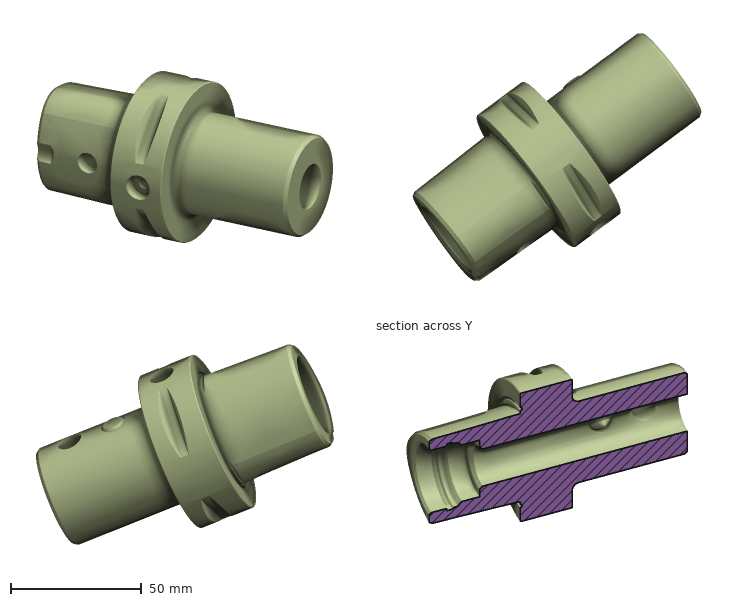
import cadquery as cq
import math

TOTAL_LENGTH = 108.0

LOBE_OFFSET = 9.9
LOBE_RADIUS = 13.4
TAPER_SLOPE = 1 / 40
TAPER_END = 35.9
TIP_CHAMFER_LENGTH = 1.4
TIP_CHAMFER_DEPTH = 0.9

NECK_RADIUS = 22.9
NECK_START = 37.2
NECK_GROOVE_RADIUS = 22.4
NECK_GROOVE_START = 36.6

FLANGE_DIAMETER = 63.0
FLANGE_RADIUS = FLANGE_DIAMETER / 2
FLANGE_START = 38.0
FLANGE_END = 59.9
FLANGE_CHAMFER = 0.3
FACE_GROOVE_RADIUS = 0.8

SLOT_X = 50.0
SLOT_COUNT = 4
SLOT_FLOOR_DISTANCE = 28.0
SLOT_FLOOR_WIDTH = 3.5
SLOT_FLANK_ANGLE = 30.0
SLOT_FILLET = 0.4
SLOT_CLEARANCE = 1.1

SHANK_RADIUS = 20.0
SHANK_FILLET = 2.7
SHANK_CHAMFER_LENGTH = 1.4
SHANK_CHAMFER_DEPTH = 1.0

MOUTH_RADIUS = 15.1
MOUTH_CHAMFER = 1.0
MOUTH_END = 7.6
CLAMP_GROOVE_RADIUS = 16.2
CLAMP_GROOVE_END = 9.7
RELIEF_FILLET = 1.3
LEAD_START = 12.3
LEAD_RADIUS = 15.1
MIDDLE_RADIUS = 13.7
MIDDLE_END = 21.1
SHOULDER_CHAMFER = 1.3
MIDDLE_CORNER_CHAMFER = 0.2
BORE_RADIUS = 9.0

NOTCH_RADIUS = 5.5
NOTCH_AXIS_DISTANCE = 23.5
NOTCH_LENGTH = 6.3
TAPER_HOLE_X = 22.5
TAPER_HOLE_RADIUS = 4.2
TAPER_HOLE_FLOOR = 14.9
DRILL_POINT_ANGLE = 140.0

PLUG_X = SLOT_X
PLUG_RADIUS = 5.1
PLUG_CHAMFER = 0.3
PLUG_OUTER = 26.5
PLUG_INNER = 22.1
PLUG_PIT_RADIUS = 2.2
PLUG_PIT_DEPTH = 1.1

SCREW_RADIUS = 5.0
SCREW_HOLE_XS = (75.4, 93.6)
SCREW_X = SCREW_HOLE_XS[0]
SCREW_TOP = 20.4
SCREW_TOP_CHAMFER = 1.0
SCREW_TIP = 4.9
SCREW_TIP_RADIUS = 0.5


def revolved(points):
    """Solid of revolution about the X axis from (x, radius) points."""
    return cq.Workplane("XY").polyline(points).close().revolve(360, (0, 0, 0), (1, 0, 0))


def radial_plane(x, direction):
    """Plane on the tool axis at x whose normal is +Y (direction 1) or -Y (direction -1)."""
    return cq.Plane(origin=(x, 0, 0), xDir=(1, 0, 0), normal=(0, direction, 0))


def turned_about_y(x, direction, points):
    """Solid turned about a Y-parallel axis through x, from (radius, distance) points."""
    placed = [(x + radius, direction * distance) for radius, distance in points]
    return cq.Workplane("XY").polyline(placed).close().revolve(360, (x, 0, 0), (x, 1, 0))


def drill_point_height(radius):
    return radius / math.tan(math.radians(DRILL_POINT_ANGLE / 2))


def polygon_wire(x, lobe_radius):
    """Lobed outline at x: lobe arcs alternate with flat arcs centred on the opposite lobe."""
    flat_radius = lobe_radius + LOBE_OFFSET * math.sqrt(3)

    def arc_point(centre_angle, radius, angle):
        y = LOBE_OFFSET * math.cos(math.radians(centre_angle)) + radius * math.cos(math.radians(angle))
        z = LOBE_OFFSET * math.sin(math.radians(centre_angle)) + radius * math.sin(math.radians(angle))
        return cq.Vector(x, y, z)

    lobe_spacing = 120
    flat_turn = lobe_spacing / 2
    arc_turns = (-lobe_spacing / 4, 0, lobe_spacing / 4)
    edges = []
    for lobe in (0, lobe_spacing, 2 * lobe_spacing):
        flat = lobe + flat_turn
        for centre, radius, middle in ((lobe, lobe_radius, lobe), (flat + 180, flat_radius, flat)):
            points = [arc_point(centre, radius, middle + turn) for turn in arc_turns]
            edges.append(cq.Edge.makeThreePointArc(*points))
    return cq.Wire.assembleEdges(edges)


def polygon_section(x_start, radius_start, x_end, radius_end):
    wires = [polygon_wire(x_start, radius_start), polygon_wire(x_end, radius_end)]
    return cq.Workplane(cq.Solid.makeLoft(wires, True))


def make_polygon_taper():
    chamfer_end_radius = LOBE_RADIUS - TAPER_SLOPE * (TAPER_END - TIP_CHAMFER_LENGTH)
    tip_radius = chamfer_end_radius - TIP_CHAMFER_DEPTH
    tip = polygon_section(0, tip_radius, TIP_CHAMFER_LENGTH, chamfer_end_radius)
    taper = polygon_section(TIP_CHAMFER_LENGTH, chamfer_end_radius, TAPER_END, LOBE_RADIUS)
    straight = polygon_section(TAPER_END, LOBE_RADIUS, FLANGE_START, LOBE_RADIUS)
    return tip.union(taper).union(straight).cut(make_neck_groove())


def make_neck_groove():
    """Ring that trims the lobes next to the flange: a shallow groove, then the neck."""
    clear_radius = FLANGE_RADIUS
    ramp = clear_radius - NECK_GROOVE_RADIUS
    step = NECK_RADIUS - NECK_GROOVE_RADIUS
    return revolved([
        (NECK_GROOVE_START, NECK_GROOVE_RADIUS),
        (NECK_START - step / 2, NECK_GROOVE_RADIUS),
        (NECK_START, NECK_RADIUS),
        (FLANGE_START, NECK_RADIUS),
        (FLANGE_START, clear_radius),
        (NECK_GROOVE_START - ramp, clear_radius),
    ])


def make_flange_and_shank():
    fillet_top = SHANK_RADIUS + SHANK_FILLET
    outline = (
        cq.Workplane("XY")
        .moveTo(FLANGE_START, 0)
        .lineTo(FLANGE_START, NECK_RADIUS)
        .threePointArc(
            (FLANGE_START + FACE_GROOVE_RADIUS, NECK_RADIUS + FACE_GROOVE_RADIUS),
            (FLANGE_START, NECK_RADIUS + 2 * FACE_GROOVE_RADIUS),
        )
        .lineTo(FLANGE_START, FLANGE_RADIUS - FLANGE_CHAMFER)
        .lineTo(FLANGE_START + FLANGE_CHAMFER, FLANGE_RADIUS)
        .lineTo(FLANGE_END - FLANGE_CHAMFER, FLANGE_RADIUS)
        .lineTo(FLANGE_END, FLANGE_RADIUS - FLANGE_CHAMFER)
        .lineTo(FLANGE_END, fillet_top)
        .radiusArc((FLANGE_END + SHANK_FILLET, SHANK_RADIUS), -SHANK_FILLET)
        .lineTo(TOTAL_LENGTH - SHANK_CHAMFER_LENGTH, SHANK_RADIUS)
        .lineTo(TOTAL_LENGTH, SHANK_RADIUS - SHANK_CHAMFER_DEPTH)
        .lineTo(TOTAL_LENGTH, 0)
        .close()
    )
    return outline.revolve(360, (0, 0, 0), (1, 0, 0))


def make_bore():
    """Stepped bore: taper mouth, clamping groove, middle bore and through bore."""
    half_diagonal = math.sqrt(0.5)
    relief_radius = LEAD_RADIUS + RELIEF_FILLET * (1 - half_diagonal)
    fillet_start = LEAD_START - RELIEF_FILLET * half_diagonal
    groove_ramp_end = CLAMP_GROOVE_END + CLAMP_GROOVE_RADIUS - relief_radius
    lead_end = LEAD_START + LEAD_RADIUS - MIDDLE_RADIUS
    outline = (
        cq.Workplane("XY")
        .lineTo(0, MOUTH_RADIUS + MOUTH_CHAMFER)
        .lineTo(MOUTH_CHAMFER, MOUTH_RADIUS)
        .lineTo(MOUTH_END, MOUTH_RADIUS)
        .lineTo(MOUTH_END, CLAMP_GROOVE_RADIUS)
        .lineTo(CLAMP_GROOVE_END, CLAMP_GROOVE_RADIUS)
        .lineTo(groove_ramp_end, relief_radius)
        .lineTo(fillet_start, relief_radius)
        .radiusArc((LEAD_START, LEAD_RADIUS), RELIEF_FILLET)
        .lineTo(lead_end, MIDDLE_RADIUS)
        .lineTo(MIDDLE_END - MIDDLE_CORNER_CHAMFER, MIDDLE_RADIUS)
        .lineTo(MIDDLE_END, MIDDLE_RADIUS - MIDDLE_CORNER_CHAMFER)
        .lineTo(MIDDLE_END, BORE_RADIUS + SHOULDER_CHAMFER)
        .lineTo(MIDDLE_END + SHOULDER_CHAMFER, BORE_RADIUS)
        .lineTo(TOTAL_LENGTH, BORE_RADIUS)
        .lineTo(TOTAL_LENGTH, 0)
        .close()
    )
    return outline.revolve(360, (0, 0, 0), (1, 0, 0))


def make_gripper_slots():
    """Straight slots with flared flanks, cut across the flange at 45 degrees to Y and Z."""
    half_floor = SLOT_FLOOR_WIDTH / 2
    height = FLANGE_RADIUS - SLOT_FLOOR_DISTANCE + SLOT_CLEARANCE
    half_top = half_floor + height * math.tan(math.radians(SLOT_FLANK_ANGLE))
    slot = (
        cq.Workplane("XZ")
        .polyline([
            (SLOT_X - half_floor, SLOT_FLOOR_DISTANCE),
            (SLOT_X + half_floor, SLOT_FLOOR_DISTANCE),
            (SLOT_X + half_top, SLOT_FLOOR_DISTANCE + height),
            (SLOT_X - half_top, SLOT_FLOOR_DISTANCE + height),
        ])
        .close()
        .extrude(FLANGE_RADIUS, both=True)
        .edges("|Y").edges("<Z").fillet(SLOT_FILLET)
    )
    step = 360 / SLOT_COUNT
    slots = cq.Workplane()
    for index in range(SLOT_COUNT):
        slots = slots.add(slot.rotate((0, 0, 0), (1, 0, 0), step * (index + 0.5)))
    return slots.combine()


def make_notch():
    """Round-bottomed keyway entering from the free end, with a 45-degree conical end."""
    tip = NOTCH_LENGTH + NOTCH_RADIUS
    notch = revolved([(0, 0), (0, NOTCH_RADIUS), (NOTCH_LENGTH, NOTCH_RADIUS), (tip, 0)])
    return notch.translate((0, -NOTCH_AXIS_DISTANCE, 0))


def make_taper_hole():
    tip = TAPER_HOLE_FLOOR - drill_point_height(TAPER_HOLE_RADIUS)
    return turned_about_y(TAPER_HOLE_X, -1, [
        (0, FLANGE_RADIUS),
        (TAPER_HOLE_RADIUS, FLANGE_RADIUS),
        (TAPER_HOLE_RADIUS, TAPER_HOLE_FLOOR),
        (0, tip),
    ])


def make_flange_hole(direction):
    pocket = cq.Workplane(radial_plane(PLUG_X, direction)).workplane(offset=PLUG_INNER)
    return pocket.circle(PLUG_RADIUS).extrude(FLANGE_RADIUS - PLUG_INNER)


def make_screw_holes():
    holes = cq.Workplane()
    for x in SCREW_HOLE_XS:
        holes = holes.add(cq.Workplane(radial_plane(x, 1)).circle(SCREW_RADIUS).extrude(FLANGE_RADIUS))
    return holes.combine()


def make_housing():
    housing = make_polygon_taper().union(make_flange_and_shank())
    housing = housing.cut(make_bore())
    housing = housing.cut(make_gripper_slots())
    housing = housing.cut(make_notch())
    housing = housing.cut(make_taper_hole())
    for direction in (-1, 1):
        housing = housing.cut(make_flange_hole(direction))
    return housing.cut(make_screw_holes())


def make_plug():
    pit_floor = PLUG_OUTER - PLUG_PIT_DEPTH
    return turned_about_y(PLUG_X, -1, [
        (0, PLUG_INNER),
        (PLUG_RADIUS, PLUG_INNER),
        (PLUG_RADIUS, PLUG_OUTER - PLUG_CHAMFER),
        (PLUG_RADIUS - PLUG_CHAMFER, PLUG_OUTER),
        (PLUG_PIT_RADIUS, PLUG_OUTER),
        (PLUG_PIT_RADIUS, pit_floor),
        (0, pit_floor - drill_point_height(PLUG_PIT_RADIUS)),
    ])


def make_set_screw():
    cone_height = SCREW_RADIUS - SCREW_TIP_RADIUS
    return turned_about_y(SCREW_X, 1, [
        (0, SCREW_TIP),
        (SCREW_TIP_RADIUS, SCREW_TIP),
        (SCREW_RADIUS, SCREW_TIP + cone_height),
        (SCREW_RADIUS, SCREW_TOP - SCREW_TOP_CHAMFER),
        (SCREW_RADIUS - SCREW_TOP_CHAMFER, SCREW_TOP),
        (0, SCREW_TOP),
    ])


housing = make_housing()
plug = make_plug()
set_screw = make_set_screw()

result = cq.Compound.makeCompound([housing.val(), plug.val(), set_screw.val()])